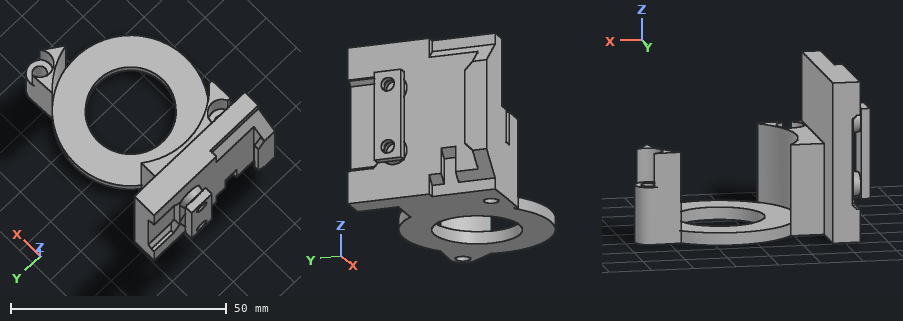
import cadquery as cq
import math


ring_radius = 18.2
ring_bore_diameter = 21.0
ring_thickness = 3.0
ring_x = 33.05
ring_y = ring_radius

wall_height = 38.0
wall_mid_z = wall_height / 2
wall_face_x = 4.05
wall_back_x = 10.55
wall_front_y = 3.2
wall_rear_y = 39.1

hook_face_x = 0.55
relief_depth = 2.0
relief_floor_x = wall_face_x + relief_depth
hook_half_height = 10.8
relief_half_height = hook_half_height + relief_floor_x - hook_face_x
relief_end_y = 18.85
hook_web_end_y = 6.7
lip_reach = 2.0
lip_thickness = 1.25

slot_start_y = 12.25
slot_width = 3.6
slot_face_z = 10.8

pocket_half_height = 11.1
pocket_straight_depth = 0.85
pocket_bevel = 1.05
pocket_depth = pocket_straight_depth + pocket_bevel
pocket_shoulder_y = 32.75

screw_offset_x = 19.0
screw_offset_y = 10.9
screw_hole_diameter = 3.5
counterbore_radius = 3.25
counterbore_floor_z = 13.6
notch_width = 2.0
notch_start_x = 13.2

block_height = 21.6
left_block_end_x = 21.2
left_block_end_y = 3.35
left_block_rear_y = 29.05
ear_radius = 3.2
ear_upper_root = (44.8, 31.95)
ear_lower_root = (50.9, 21.55)

clip_thickness = 2.1
clip_width = 6.6
clip_height = 21.4
clip_bottom_z = 8.45
clip_mid_y = 27.55
boss_spacing = 15.15
boss_heights = [wall_mid_z - boss_spacing / 2, wall_mid_z + boss_spacing / 2]
boss_outer_diameter = 5.45
boss_wall_diameter = 6.4
boss_length = wall_face_x - clip_thickness
clip_hole_diameter = 3.2
boss_bore_diameter = 3.7

left_screw = (ring_x - screw_offset_x, ring_y - screw_offset_y)
right_screw = (ring_x + screw_offset_x, ring_y + screw_offset_y)


def box(x_range, y_range, z_range):
    """Box spanning the given limits along each axis."""
    lower = cq.Vector(x_range[0], y_range[0], z_range[0])
    upper = cq.Vector(x_range[1], y_range[1], z_range[1])
    size = upper - lower
    return cq.Workplane("XY").box(size.x, size.y, size.z, centered=False).translate(lower)


def cylinder(center, radius, bottom_z, top_z):
    """Upright cylinder between two heights."""
    plane = cq.Workplane("XY", origin=(0, 0, bottom_z))
    return plane.center(*center).circle(radius).extrude(top_z - bottom_z)


def xz_prism(points, start_y, end_y):
    """XZ outline extruded along Y."""
    plane = cq.Workplane("XZ", origin=(0, start_y, 0))
    return plane.polyline(points).close().extrude(start_y - end_y)


def hook_profile(outer_x):
    """Trapezoid with 45 degree flanks, cut off at outer_x."""
    half = hook_half_height + outer_x - hook_face_x
    return [
        (outer_x, wall_mid_z - half),
        (outer_x, wall_mid_z + half),
        (relief_floor_x, wall_mid_z + relief_half_height),
        (relief_floor_x, wall_mid_z - relief_half_height),
    ]


def make_lip():
    """Inward lip of the hook, with both free corners bevelled."""
    tip_y = hook_web_end_y + lip_reach
    tip_half = hook_half_height - lip_reach
    outline = [
        (hook_web_end_y, wall_mid_z - hook_half_height),
        (tip_y, wall_mid_z - tip_half),
        (tip_y, wall_mid_z + tip_half),
        (hook_web_end_y, wall_mid_z + hook_half_height),
    ]
    plane = cq.Workplane("YZ", origin=(hook_face_x, 0, 0))
    return plane.polyline(outline).close().extrude(lip_thickness)


def make_pocket():
    """Pocket open at the rear, with sloping flanks and a bevelled inner end."""
    face_z = pocket_half_height
    floor_z = pocket_half_height - pocket_bevel
    bevel_x = wall_face_x + pocket_straight_depth
    floor_x = wall_face_x + pocket_depth
    profile = [
        (wall_face_x, wall_mid_z - face_z),
        (bevel_x, wall_mid_z - face_z),
        (floor_x, wall_mid_z - floor_z),
        (floor_x, wall_mid_z + floor_z),
        (bevel_x, wall_mid_z + face_z),
        (wall_face_x, wall_mid_z + face_z),
    ]
    end_y = pocket_shoulder_y - lip_reach
    end_half = pocket_half_height - lip_reach
    outline = [
        (wall_rear_y, wall_mid_z - face_z),
        (pocket_shoulder_y, wall_mid_z - face_z),
        (end_y, wall_mid_z - end_half),
        (end_y, wall_mid_z + end_half),
        (pocket_shoulder_y, wall_mid_z + face_z),
        (wall_rear_y, wall_mid_z + face_z),
    ]
    plane = cq.Workplane("YZ", origin=(wall_face_x, 0, 0))
    end_shape = plane.polyline(outline).close().extrude(pocket_depth)
    return xz_prism(profile, end_y, wall_rear_y).intersect(end_shape)


def make_wall():
    """Upright wall with its relief, hook, slot and pocket."""
    wall = box((wall_face_x, wall_back_x), (wall_front_y, wall_rear_y), (0, wall_height))
    relief = box((wall_face_x, relief_floor_x), (wall_front_y, relief_end_y), (0, wall_height))
    raised_face = xz_prism(hook_profile(wall_face_x), wall_front_y, relief_end_y)
    hook_web = xz_prism(hook_profile(hook_face_x), wall_front_y, hook_web_end_y)
    slot_profile = [
        (wall_face_x, 0),
        (relief_floor_x, 0),
        (relief_floor_x, slot_face_z - relief_depth),
        (wall_face_x, slot_face_z),
    ]
    slot = xz_prism(slot_profile, slot_start_y, slot_start_y + slot_width)
    wall = wall.cut(relief).union(raised_face).union(hook_web).union(make_lip())
    return wall.cut(slot).cut(make_pocket())


def make_left_block():
    """Block joining the wall to the ring around the left screw."""
    outline = [
        (wall_back_x, wall_front_y),
        (left_screw[0], wall_front_y),
        (left_block_end_x, left_block_end_y),
        (left_block_end_x, left_block_rear_y),
        (wall_back_x, left_block_rear_y),
    ]
    return cq.Workplane("XY").polyline(outline).close().extrude(block_height)


def tangent_point(root, side):
    """Point where a line from root touches the ear circle; side is +1 or -1."""
    dx = root[0] - right_screw[0]
    dy = root[1] - right_screw[1]
    angle = math.atan2(dy, dx) + side * math.acos(ear_radius / math.hypot(dx, dy))
    return (
        right_screw[0] + ear_radius * math.cos(angle),
        right_screw[1] + ear_radius * math.sin(angle),
    )


def make_ear():
    """Ear on the far side of the ring, rounded about the right screw."""
    outer_x = right_screw[0] + ear_radius
    ear = cq.Workplane("XY").moveTo(*ear_lower_root).lineTo(*tangent_point(ear_lower_root, 1))
    ear = ear.threePointArc((outer_x, right_screw[1]), tangent_point(ear_upper_root, -1))
    return ear.lineTo(*ear_upper_root).close().extrude(block_height)


def make_boss(boss_z):
    """Boss widening from the clip to the wall, bored down to the wall face."""
    plane = cq.Workplane("YZ", origin=(clip_thickness, clip_mid_y, boss_z))
    boss = plane.circle(boss_outer_diameter / 2).workplane(offset=boss_length)
    boss = boss.circle(boss_wall_diameter / 2).loft(ruled=True)
    return boss.cut(plane.circle(boss_bore_diameter / 2).extrude(boss_length))


def make_bracket():
    """Wall, ring, both screw blocks and the clip bosses as one solid."""
    ring_center = (ring_x, ring_y)
    blocks = make_left_block().union(make_ear())
    blocks = blocks.cut(cylinder(ring_center, ring_radius, ring_thickness, block_height))
    bracket = make_wall().union(blocks).union(cylinder(ring_center, ring_radius, 0, ring_thickness))
    bracket = bracket.cut(cylinder(ring_center, ring_bore_diameter / 2, 0, ring_thickness))
    for screw in (left_screw, right_screw):
        bracket = bracket.cut(cylinder(screw, screw_hole_diameter / 2, 0, block_height))
        bracket = bracket.cut(cylinder(screw, counterbore_radius, counterbore_floor_z, block_height))
    notch = box(
        (notch_start_x, notch_start_x + notch_width),
        (wall_front_y, left_screw[1]),
        (counterbore_floor_z, block_height),
    )
    bracket = bracket.cut(notch)
    for boss_z in boss_heights:
        bracket = bracket.union(make_boss(boss_z))
    return bracket


def make_clip():
    """Flat bar with a screw hole in front of each boss."""
    half_width = clip_width / 2
    clip = box(
        (0, clip_thickness),
        (clip_mid_y - half_width, clip_mid_y + half_width),
        (clip_bottom_z, clip_bottom_z + clip_height),
    )
    for boss_z in boss_heights:
        plane = cq.Workplane("YZ").center(clip_mid_y, boss_z)
        clip = clip.cut(plane.circle(clip_hole_diameter / 2).extrude(clip_thickness))
    return clip


bracket = make_bracket()
clip = make_clip()
result = cq.Compound.makeCompound([bracket.val(), clip.val()])